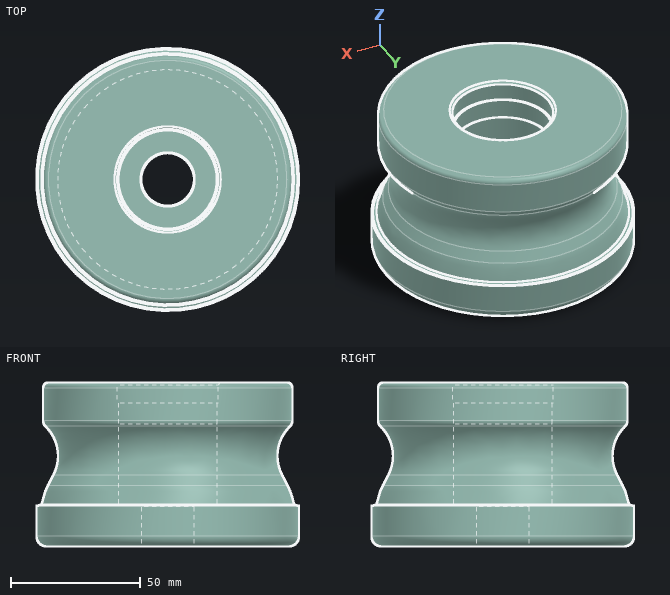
import cadquery as cq
import math

base_radius = 50.8
base_height = 15.8
base_bottom_fillet = 4.1
hole_radius = 10.2
hole_chamfer = 0.3

foot_radius = 50.2
foot_top_height = 16.4
total_height = 63.5
head_radius = 48.3
head_top_fillet = 2.2
head_lower_fillet = 3.0
throat_radius = 42.5
throat_height = 35.1
throat_arc = 16.0
waist_arc_end_height = 27.7
skirt_arc_start_height = 23.6
skirt_arc = 25.4

bore_mouth_radius = 19.5
bore_chamfer = 1.0
bore_middle_radius = 19.1
bore_lower_radius = 19.0
bore_step_depth = 8.0

throat_center_r = throat_radius + throat_arc
cone_angle = math.asin((throat_height - waist_arc_end_height) / throat_arc)
fillet_center_r = head_radius - head_lower_fillet
center_distance = throat_arc + head_lower_fillet
center_rise = math.sqrt(center_distance**2 - (throat_center_r - fillet_center_r) ** 2)
fillet_center_z = throat_height + center_rise
flank_angle = math.asin(center_rise / center_distance)

cone_top_r = throat_center_r - throat_arc * math.cos(cone_angle)
cone_drop = waist_arc_end_height - skirt_arc_start_height
cone_bottom_r = cone_top_r + cone_drop * math.tan(cone_angle)
skirt_center_r = cone_bottom_r - skirt_arc * math.cos(cone_angle)
skirt_center_z = skirt_arc_start_height - skirt_arc * math.sin(cone_angle)
skirt_end_angle = math.asin((foot_top_height - skirt_center_z) / skirt_arc)


def arc_point(center_r, center_z, radius, angle):
    """Point (r, z) on a circle, with the angle measured from the outward direction."""
    return (center_r + radius * math.cos(angle), center_z + radius * math.sin(angle))


def skirt_point(angle):
    return arc_point(skirt_center_r, skirt_center_z, skirt_arc, angle)


def head_fillet_point(angle):
    return arc_point(fillet_center_r, fillet_center_z, head_lower_fillet, angle)


def revolve_profile(profile):
    """Turn a closed (r, z) half section about the Z axis."""
    return profile.close().revolve(360, (0, 0, 0), (0, 1, 0))


def make_base():
    profile = (
        cq.Workplane("XZ")
        .moveTo(hole_radius, 0)
        .lineTo(base_radius - base_bottom_fillet, 0)
        .radiusArc((base_radius, base_bottom_fillet), -base_bottom_fillet)
        .lineTo(base_radius, base_height)
        .lineTo(hole_radius + hole_chamfer, base_height)
        .lineTo(hole_radius, base_height - hole_chamfer)
    )
    return revolve_profile(profile)


def make_knob():
    upper_step = total_height - bore_step_depth
    lower_step = total_height - 2 * bore_step_depth
    skirt_mid_angle = (cone_angle + skirt_end_angle) / 2
    flank_end = head_fillet_point(-flank_angle)
    profile = (
        cq.Workplane("XZ")
        .moveTo(bore_lower_radius, base_height)
        .lineTo(foot_radius, base_height)
        .lineTo(*skirt_point(skirt_end_angle))
        .threePointArc(skirt_point(skirt_mid_angle), (cone_bottom_r, skirt_arc_start_height))
        .lineTo(cone_top_r, waist_arc_end_height)
        .threePointArc((throat_radius, throat_height), flank_end)
        .threePointArc(head_fillet_point(-flank_angle / 2), (head_radius, fillet_center_z))
        .lineTo(head_radius, total_height - head_top_fillet)
        .radiusArc((head_radius - head_top_fillet, total_height), -head_top_fillet)
        .lineTo(bore_mouth_radius + bore_chamfer, total_height)
        .lineTo(bore_mouth_radius, total_height - bore_chamfer)
        .lineTo(bore_mouth_radius, upper_step)
        .lineTo(bore_middle_radius, upper_step)
        .lineTo(bore_middle_radius, lower_step)
        .lineTo(bore_lower_radius, lower_step)
    )
    return revolve_profile(profile)


base = make_base()
knob = make_knob()

result = cq.Compound.makeCompound([base.val(), knob.val()])